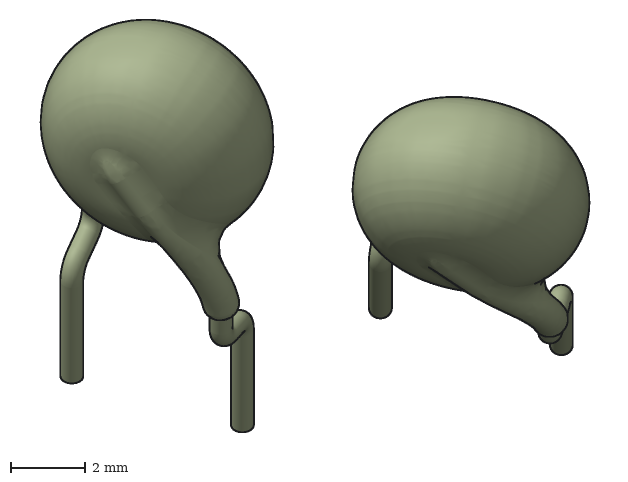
import cadquery as cq
import math

OVERALL_HEIGHT = 13.07
BODY_DIAMETER = 6.45
BODY_RADIUS = BODY_DIAMETER / 2
BODY_THICKNESS = 4.48
RIM_RADIUS = BODY_THICKNESS / 2
FLAT_RADIUS = BODY_RADIUS - RIM_RADIUS

WIRE_RADIUS = 0.31
LEAD_HALF_PITCH = 2.5
LEAD_OFFSET = 1.49
LEAD_TOP = -3.92
BEND_TOP = -5.02
BEND_RADIUS = 0.6
BEND_ANGLE = math.radians(74)
LEAD_BOTTOM = BODY_RADIUS - OVERALL_HEIGHT

SLEEVE_RADIUS = 0.5
OVERALL_DEPTH = 5.0
CREST_Y = -(OVERALL_DEPTH / 2 - SLEEVE_RADIUS)
CREST_START = cq.Vector(-0.13, CREST_Y, 0.17)
CREST_END = cq.Vector(0.63, CREST_Y, -0.78)
NOSE_START = cq.Vector(-0.89, -1.37, 1.1)
SEAM_DIRECTION = (0, 1, 0.3)
NOSE_PULL = 0.35
SLEEVE_END = cq.Vector(LEAD_HALF_PITCH, -LEAD_OFFSET, -4.13)
SLEEVE_END_SLOPE = cq.Vector(0.1, 0.15, -1.0)
SHOULDER_PULL = 0.7
SLEEVE_END_PULL = 1.31
SLEEVE_BOTTOM = -4.46
TIP_LENGTH = 0.39
TIP_ROUND = 0.38

BLEND_RADIUS = 0.99
SURFACE_TOLERANCE = 0.0003
SAMPLE_POSITIONS = [0.15, 0.5, 0.85]


def make_body():
    """Disc revolved about the Y axis, with its seam kept on top."""
    return (
        cq.Workplane("YZ")
        .moveTo(-RIM_RADIUS, 0)
        .lineTo(-RIM_RADIUS, FLAT_RADIUS)
        .threePointArc((0, BODY_RADIUS), (RIM_RADIUS, FLAT_RADIUS))
        .lineTo(RIM_RADIUS, 0)
        .close()
        .revolve(360, (0, 0, 0), (1, 0, 0))
    )


def make_sleeve():
    """Round tube that rises out of the face, runs straight across it and curves down to the lead."""
    crest = CREST_END - CREST_START
    nose = cq.Edge.makeBezier([NOSE_START, CREST_START - crest * NOSE_PULL, CREST_START])
    straight = cq.Edge.makeLine(CREST_START, CREST_END)
    shoulder = cq.Edge.makeBezier([
        CREST_END,
        CREST_END + crest * SHOULDER_PULL,
        SLEEVE_END - SLEEVE_END_SLOPE * SLEEVE_END_PULL,
        SLEEVE_END,
    ])
    path = cq.Wire.assembleEdges([nose, straight, shoulder])
    section = cq.Plane(NOSE_START, xDir=SEAM_DIRECTION, normal=nose.tangentAt(0))
    return cq.Workplane(section).circle(SLEEVE_RADIUS).sweep(cq.Workplane(path))


def blend_sleeve(body, sleeve):
    """Join the sleeve to the body and fillet the edges where the two surfaces meet."""
    joined = body.union(sleeve)

    def lies_on(part, point):
        probe = cq.Vertex.makeVertex(*point.toTuple())
        return part.val().Shells()[0].distance(probe) < SURFACE_TOLERANCE

    def is_meeting_edge(edge):
        points = edge.positions(SAMPLE_POSITIONS)
        return all(lies_on(body, p) and lies_on(sleeve, p) for p in points)

    meeting_edges = [e for e in joined.edges().vals() if is_meeting_edge(e)]
    return joined.newObject(meeting_edges).fillet(BLEND_RADIUS)


def make_sleeve_tip():
    """Rounded lower end of the sleeve, in line with the sleeve but cut off level around the wire."""
    rounded = (
        cq.Workplane(cq.Plane(SLEEVE_END, normal=SLEEVE_END_SLOPE))
        .circle(SLEEVE_RADIUS)
        .extrude(TIP_LENGTH)
        .faces(cq.selectors.DirectionMinMaxSelector(SLEEVE_END_SLOPE))
        .edges()
        .fillet(TIP_ROUND)
    )
    level_cut = cq.Workplane("XY", origin=(LEAD_HALF_PITCH, -LEAD_OFFSET, SLEEVE_BOTTOM))
    return rounded.cut(level_cut.circle(2 * SLEEVE_RADIUS).extrude(-TIP_LENGTH))


def make_lead():
    """Wire swept down, inward through two equal bends, and down again to its free end."""
    reach = BEND_RADIUS * (1 - math.cos(BEND_ANGLE))
    drop = BEND_RADIUS * math.sin(BEND_ANGLE)
    mid_reach = BEND_RADIUS * (1 - math.cos(BEND_ANGLE / 2))
    mid_drop = BEND_RADIUS * math.sin(BEND_ANGLE / 2)
    slant_drop = (LEAD_OFFSET - 2 * reach) / math.tan(BEND_ANGLE)
    bend_bottom = BEND_TOP - 2 * drop - slant_drop
    path = (
        cq.Workplane("YZ", origin=(LEAD_HALF_PITCH, 0, 0))
        .moveTo(-LEAD_OFFSET, LEAD_TOP)
        .lineTo(-LEAD_OFFSET, BEND_TOP)
        .threePointArc(
            (-LEAD_OFFSET + mid_reach, BEND_TOP - mid_drop),
            (-LEAD_OFFSET + reach, BEND_TOP - drop),
        )
        .lineTo(-reach, bend_bottom + drop)
        .threePointArc((-mid_reach, bend_bottom + mid_drop), (0, bend_bottom))
        .lineTo(0, LEAD_BOTTOM)
    )
    start = (LEAD_HALF_PITCH, -LEAD_OFFSET, LEAD_TOP)
    return cq.Workplane("XY", origin=start).circle(WIRE_RADIUS).sweep(path)


result = make_body()
for _ in range(2):
    result = blend_sleeve(result, make_sleeve()).rotate((0, 0, 0), (0, 0, 1), 180)
termination = make_sleeve_tip().union(make_lead())
for turn in (0, 180):
    result = result.union(termination.rotate((0, 0, 0), (0, 0, 1), turn))